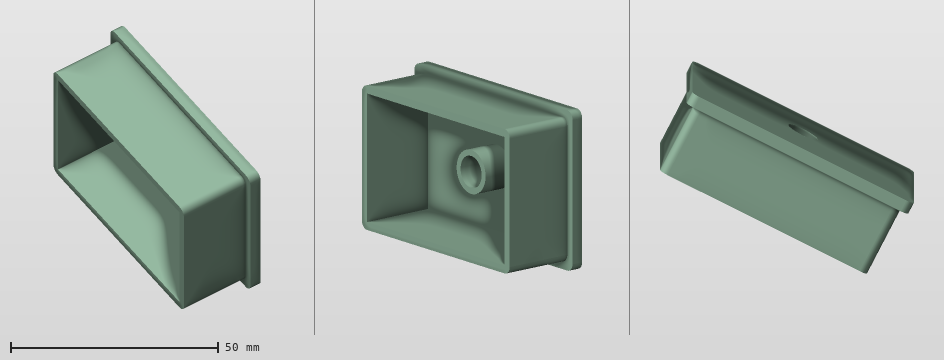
import cadquery as cq

flange_width = 60.0
flange_height = 40.0
flange_thickness = 3.0
corner_radius = 2.0

total_depth = 21.0
flange_overhang = 2.0
wall = 2.0
floor_thickness = 2.0
box_width = flange_width - 2 * flange_overhang
box_height = flange_height - 2 * flange_overhang
box_depth = total_depth - flange_thickness

boss_diameter = 11.0
bore_diameter = 8.0
boss_length = 8.0

back_y = total_depth / 2
flange_front_y = back_y - flange_thickness
floor_y = back_y - floor_thickness


def face_plane(y):
    """Sketch plane at the given Y; extrusions run toward the open front (-Y)."""
    return cq.Workplane("XZ", origin=(0, y, 0))


def rounded_block(y, width, height, depth):
    """Block with its four Y-direction edges rounded."""
    return face_plane(y).rect(width, height).extrude(depth).edges("|Y").fillet(corner_radius)


flange = rounded_block(back_y, flange_width, flange_height, flange_thickness)
box = rounded_block(flange_front_y, box_width, box_height, box_depth)
cavity = face_plane(floor_y).rect(box_width - 2 * wall, box_height - 2 * wall).extrude(total_depth)
boss = face_plane(floor_y).circle(boss_diameter / 2).extrude(boss_length)
bore = face_plane(back_y).circle(bore_diameter / 2).extrude(total_depth)

result = flange.union(box).cut(cavity).union(boss).cut(bore)